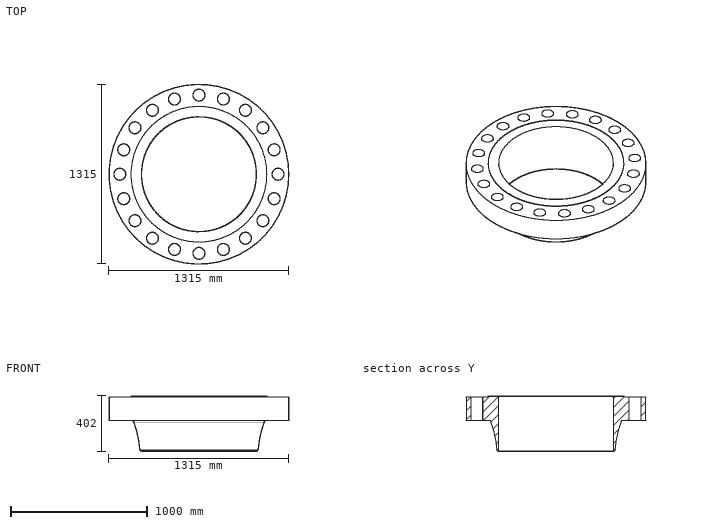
import cadquery as cq

flange_diameter = 1315.0
total_height = 402.0
bore_diameter = 837.0

flange_bottom_z = 223.0
raised_face_height = 4.0
raised_face_diameter = 991.0
flange_top_z = total_height - raised_face_height

bolt_count = 20
bolt_circle_diameter = 1155.0
bolt_hole_diameter = 85.0

hub_root_radius = 489.0
hub_root_fillet = 12.0
hub_top_radius = hub_root_radius - hub_root_fillet
hub_middle_radius = 448.0
hub_bottom_radius = 434.0
hub_bevel = 10.0
hub_top_z = flange_bottom_z - hub_root_fillet
hub_middle_z = (hub_top_z + hub_bevel) / 2
sin_45 = 0.5 ** 0.5


def make_hub_and_flange():
    """Revolve the half section about Z."""
    bore_radius = bore_diameter / 2
    flange_radius = flange_diameter / 2
    raised_face_radius = raised_face_diameter / 2
    fillet_middle = (
        hub_root_radius - hub_root_fillet * sin_45,
        flange_bottom_z - hub_root_fillet * (1 - sin_45),
    )
    section = (
        cq.Workplane("XZ")
        .moveTo(bore_radius, 0)
        .lineTo(hub_bottom_radius - hub_bevel, 0)
        .lineTo(hub_bottom_radius, hub_bevel)
        .threePointArc((hub_middle_radius, hub_middle_z), (hub_top_radius, hub_top_z))
        .threePointArc(fillet_middle, (hub_root_radius, flange_bottom_z))
        .lineTo(flange_radius, flange_bottom_z)
        .lineTo(flange_radius, flange_top_z)
        .lineTo(raised_face_radius, flange_top_z)
        .lineTo(raised_face_radius, total_height)
        .lineTo(bore_radius, total_height)
        .close()
    )
    return section.revolve(360, (0, 0, 0), (0, 1, 0))


def make_bolt_holes():
    """Cylinders through the flange, evenly spaced on the bolt circle."""
    return (
        cq.Workplane("XY")
        .workplane(offset=flange_bottom_z)
        .polarArray(bolt_circle_diameter / 2, 0, 360, bolt_count)
        .circle(bolt_hole_diameter / 2)
        .extrude(flange_top_z - flange_bottom_z)
    )


result = make_hub_and_flange().cut(make_bolt_holes())